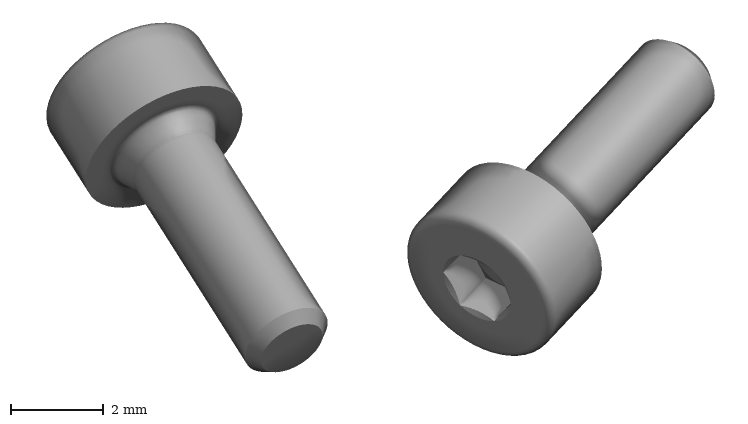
import cadquery as cq
import math

total_length = 8.0
head_length = 2.0
head_diameter = 3.8
head_edge_radius = 0.2
shank_diameter = 2.0
tip_chamfer = 0.25

neck_length = 0.5
neck_diameter = 2.5
neck_blend_radius = 0.1

socket_sides = 6
socket_width = 1.52
socket_depth = 1.0
socket_chamfer_angle = 30.0
socket_bottom_diameter = 1.48
socket_bottom_angle = 120.0

socket_corner_diameter = socket_width / math.cos(math.pi / socket_sides)
socket_bottom_depth = socket_bottom_diameter / 2 / math.tan(math.radians(socket_bottom_angle / 2))


def revolve_about_x(points):
    """Revolve a closed outline of (x, radius) points about the screw axis."""
    return cq.Workplane("XZ").polyline(points).close().revolve(360, (0, 0, 0), (1, 0, 0))


def cone_along_x(start, length, diameter):
    """Solid cone whose base lies at x = start and whose apex points to +X."""
    return revolve_about_x([(start, 0), (start, diameter / 2), (start + length, 0)])


def circle_edge_at(x):
    """Selector for the circular edges centered at the given x on the axis."""
    tolerance = 0.01
    reach = head_diameter
    return cq.selectors.BoxSelector(
        (x - tolerance, -reach, -reach), (x + tolerance, reach, reach), boundingbox=True
    )


def make_body():
    """Head, conical neck and shank with a chamfered tip."""
    neck_end = head_length + neck_length
    shank_radius = shank_diameter / 2
    body = revolve_about_x([
        (0, 0),
        (0, head_diameter / 2),
        (head_length, head_diameter / 2),
        (head_length, neck_diameter / 2),
        (neck_end, shank_radius),
        (total_length - tip_chamfer, shank_radius),
        (total_length, shank_radius - tip_chamfer),
        (total_length, 0),
    ])
    body = body.edges(circle_edge_at(0)).fillet(head_edge_radius)
    neck_root = body.edges(circle_edge_at(head_length)).edges(cq.selectors.RadiusNthSelector(0))
    body = neck_root.fillet(neck_blend_radius)
    return body.edges(circle_edge_at(neck_end)).fillet(neck_blend_radius)


def make_socket():
    """Hexagon with corners on the Y axis, a chamfered mouth and a conical bottom."""
    hexagon = cq.Workplane("YZ").polygon(socket_sides, socket_corner_diameter).extrude(socket_depth)
    mouth_depth = socket_corner_diameter / 2 * math.tan(math.radians(socket_chamfer_angle))
    mouth = cone_along_x(0, mouth_depth, socket_corner_diameter)
    bottom = cone_along_x(socket_depth, socket_bottom_depth, socket_bottom_diameter)
    return hexagon.union(mouth).union(bottom)


result = make_body().cut(make_socket())